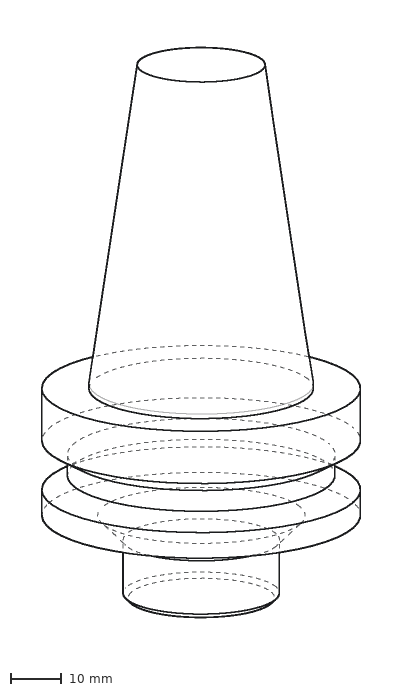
import cadquery as cq

total_length = 109.4
flange_diameter = 63.0
groove_diameter = 53.0
taper_large_diameter = 44.4
nose_diameter = 31.0
cone_large_diameter = 41.0

taper_length = 65.4
taper_ratio = 7 / 24
taper_small_diameter = taper_large_diameter - taper_length * taper_ratio

collar_length = 1.0
upper_rim_length = 10.7
groove_upper_slope = 2.8
groove_floor_length = 4.3
groove_lower_slope = 3.0
lower_rim_length = 5.3
cone_length = (cone_large_diameter - nose_diameter) / 2
nose_chamfer = 1.0

taper_base_z = total_length - taper_length
flange_top_z = taper_base_z - collar_length
groove_top_z = flange_top_z - upper_rim_length
floor_top_z = groove_top_z - groove_upper_slope
floor_bottom_z = floor_top_z - groove_floor_length
groove_bottom_z = floor_bottom_z - groove_lower_slope
flange_bottom_z = groove_bottom_z - lower_rim_length
nose_top_z = flange_bottom_z - cone_length

profile = [
    (nose_diameter - 2 * nose_chamfer, 0),
    (nose_diameter, nose_chamfer),
    (nose_diameter, nose_top_z),
    (cone_large_diameter, flange_bottom_z),
    (flange_diameter, flange_bottom_z),
    (flange_diameter, groove_bottom_z),
    (groove_diameter, floor_bottom_z),
    (groove_diameter, floor_top_z),
    (flange_diameter, groove_top_z),
    (flange_diameter, flange_top_z),
    (taper_large_diameter, flange_top_z),
    (taper_large_diameter, taper_base_z),
    (taper_small_diameter, total_length),
]

outline = [(0, 0)]
outline += [(diameter / 2, height) for diameter, height in profile]
outline += [(0, total_length)]
result = cq.Workplane("XZ").polyline(outline).close().revolve(360, (0, 0), (0, 1))